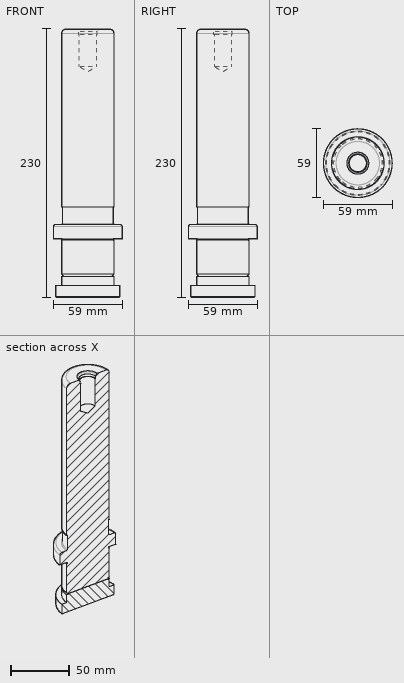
import cadquery as cq
import math

TOTAL_HEIGHT = 230.0
DISC_THICKNESS = 10.1
BOSS_TOP = 18.0
FLANGE_BOTTOM = 50.1
FLANGE_TOP = 62.5
NECK_TOP = 77.5

SHAFT_RADIUS = 22.5
FLANGE_DIAMETER = 59.0
FLANGE_RADIUS = FLANGE_DIAMETER / 2
NECK_RADIUS = 21.8
UNDERCUT_HEIGHT = 1.2
NECK_FILLET = 1.0
FLANGE_FILLET = 2.0
TOP_FILLET = 4.0
SHANK_CHAMFER = 1.8

MOUTH_RADIUS = 9.5
MOUTH_CHAMFER = 0.7
CONE_HALF_ANGLE = 30.0
RELIEF_RADIUS = 7.8
RELIEF_DEPTH = 4.5
BORE_RADIUS = 7.4
BORE_DEPTH = 32.2
DRILL_POINT_ANGLE = 118.0

DISC_RADIUS = 27.5
DISC_CHAMFER = 0.7


def cylinder(radius, bottom, top):
    """Upright cylinder on the Z axis between two heights."""
    return cq.Workplane("XY", origin=(0, 0, bottom)).circle(radius).extrude(top - bottom)


def make_hole():
    """Centre hole with a drill point at the bottom and a stepped mouth, as a solid to cut away."""
    bore_floor = TOTAL_HEIGHT - BORE_DEPTH
    point_height = BORE_RADIUS / math.tan(math.radians(DRILL_POINT_ANGLE / 2))
    relief_floor = TOTAL_HEIGHT - RELIEF_DEPTH
    cone_radius = MOUTH_RADIUS - MOUTH_CHAMFER
    cone_top = TOTAL_HEIGHT - MOUTH_CHAMFER
    cone_height = (cone_radius - RELIEF_RADIUS) / math.tan(math.radians(CONE_HALF_ANGLE))
    return (
        cq.Workplane("XZ")
        .moveTo(0, bore_floor - point_height)
        .lineTo(BORE_RADIUS, bore_floor)
        .lineTo(BORE_RADIUS, relief_floor)
        .lineTo(RELIEF_RADIUS, relief_floor)
        .lineTo(RELIEF_RADIUS, cone_top - cone_height)
        .lineTo(cone_radius, cone_top)
        .lineTo(MOUTH_RADIUS, TOTAL_HEIGHT)
        .lineTo(0, TOTAL_HEIGHT)
        .close()
        .revolve(360, (0, 0, 0), (0, 1, 0))
    )


def make_guide_pin():
    """Flanged pin: shank below the flange, relieved neck and long shaft above it."""
    undercut_bottom = FLANGE_BOTTOM - UNDERCUT_HEIGHT
    shank = cylinder(SHAFT_RADIUS, BOSS_TOP, undercut_bottom).faces("<Z").chamfer(SHANK_CHAMFER)
    undercut = cylinder(NECK_RADIUS, undercut_bottom, FLANGE_BOTTOM)
    flange = cylinder(FLANGE_RADIUS, FLANGE_BOTTOM, FLANGE_TOP).faces(">Z").edges().fillet(FLANGE_FILLET)
    neck = cylinder(NECK_RADIUS, FLANGE_TOP, NECK_TOP)
    shaft = cylinder(SHAFT_RADIUS, NECK_TOP, TOTAL_HEIGHT).faces(">Z").edges().fillet(TOP_FILLET)

    flange_and_neck = flange.union(neck)
    neck_root = flange_and_neck.faces(">Z[-2]").edges(cq.selectors.RadiusNthSelector(0))
    flange_and_neck = neck_root.fillet(NECK_FILLET)
    return shank.union(undercut).union(flange_and_neck).union(shaft).cut(make_hole())


def make_end_disc():
    """Disc below the pin, with a boss that meets the bottom of the shank."""
    disc = cylinder(DISC_RADIUS, 0, DISC_THICKNESS).faces("<Z").chamfer(DISC_CHAMFER)
    boss = cylinder(SHAFT_RADIUS, DISC_THICKNESS, BOSS_TOP)
    return disc.union(boss)


guide_pin = make_guide_pin()
end_disc = make_end_disc()

result = cq.Compound.makeCompound([guide_pin.val(), end_disc.val()])